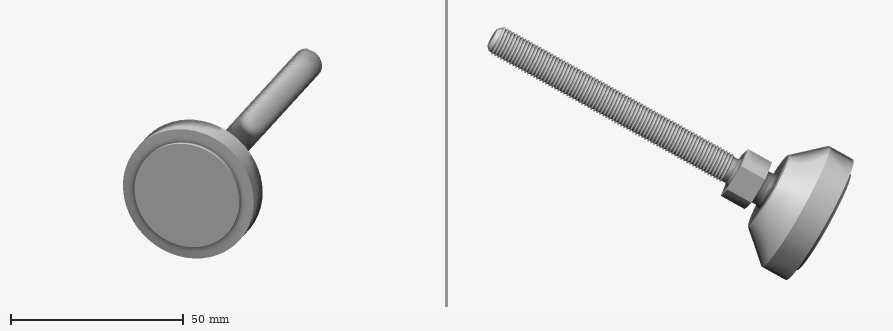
import cadquery as cq
import math


foot_diameter = 40.0
foot_rim_height = 8.0
foot_cone_height = 9.0
foot_top_diameter = 24.0
foot_height = foot_rim_height + foot_cone_height

pad_diameter = 32.0
pad_thickness = 1.35

neck_diameter = 10.2
neck_length = 2.0
neck_start = foot_height + 1.3
ball_radius = 6.0
ball_center = neck_start - math.sqrt(ball_radius**2 - (neck_diameter / 2) ** 2)

hex_across_corners = 16.0
hex_height = 8.0
hex_start = neck_start + neck_length
hex_end = hex_start + hex_height

thread_diameter = 9.0
thread_pitch = 1.0
thread_turns = 77
thread_depth = 0.6134 * thread_pitch
flank_slope = math.tan(math.pi / 6)
thread_embed = 0.2

core_diameter = thread_diameter - 2 * thread_depth
shank_end = 109.0
tip_chamfer = 1.0
tip_plain_length = 1.5
thread_end = shank_end - tip_plain_length
thread_start = thread_end - thread_turns * thread_pitch

collar_height = 0.8
collar_diameter = core_diameter + 2 * collar_height

turns_per_length = 7
ridge_length = turns_per_length * thread_pitch
ridge_count = thread_turns // turns_per_length


def disc(diameter, start, height):
    """Cylinder about the Y axis running from Y = start to start + height."""
    return cq.Workplane("XZ", origin=(0, start, 0)).circle(diameter / 2).extrude(-height)


def make_ball():
    return cq.Workplane("XY").sphere(ball_radius).translate((0, ball_center, 0))


def make_foot():
    body = (
        cq.Workplane("XY")
        .moveTo(0, 0)
        .lineTo(foot_diameter / 2, 0)
        .lineTo(foot_diameter / 2, foot_rim_height)
        .lineTo(foot_top_diameter / 2, foot_height)
        .lineTo(0, foot_height)
        .close()
        .revolve(360, (0, 0, 0), (0, 1, 0))
    )
    return body.cut(make_ball())


def make_pad():
    return disc(pad_diameter, -pad_thickness, pad_thickness)


def make_ridge():
    """Sharp helical ridge about the Y axis, starting at Y = 0 on the +Z side."""
    root_radius = core_diameter / 2 - thread_embed
    crest_radius = thread_diameter / 2
    half_root = (crest_radius - root_radius) * flank_slope
    helix = cq.Wire.makeHelix(thread_pitch, ridge_length, core_diameter / 2)
    ridge = (
        cq.Workplane("XZ")
        .moveTo(root_radius, -half_root)
        .lineTo(crest_radius, 0)
        .lineTo(root_radius, half_root)
        .close()
        .sweep(cq.Workplane(obj=helix), isFrenet=True)
    )
    return ridge.rotate((0, 0, 0), (1, 0, 0), -90).rotate((0, 0, 0), (0, 1, 0), -90)


def make_shank():
    """Core with a chamfered tip and the thread ridges fused onto it."""
    core = disc(core_diameter, hex_end, shank_end - hex_end).faces(">Y").edges().chamfer(tip_chamfer)
    ridge = make_ridge().val()
    ridges = []
    for index in range(ridge_count):
        start = thread_start + index * ridge_length
        ridges.append(ridge.translate(cq.Vector(0, start, 0)))
    return cq.Workplane(obj=core.val().fuse(*ridges))


def make_stud():
    neck = disc(neck_diameter, ball_center, hex_start - ball_center)
    hexagon = (
        cq.Workplane("XZ", origin=(0, hex_start, 0))
        .polygon(6, hex_across_corners)
        .extrude(-hex_height)
    )
    collar = (
        cq.Workplane("XY")
        .moveTo(0, hex_end)
        .lineTo(collar_diameter / 2, hex_end)
        .lineTo(core_diameter / 2, hex_end + collar_height)
        .lineTo(0, hex_end + collar_height)
        .close()
        .revolve(360, (0, 0, 0), (0, 1, 0))
    )
    return make_ball().union(neck).union(hexagon).union(collar).union(make_shank(), clean=False)


foot = make_foot()
pad = make_pad()
stud = make_stud()

result = cq.Compound.makeCompound([foot.val(), pad.val(), stud.val()])